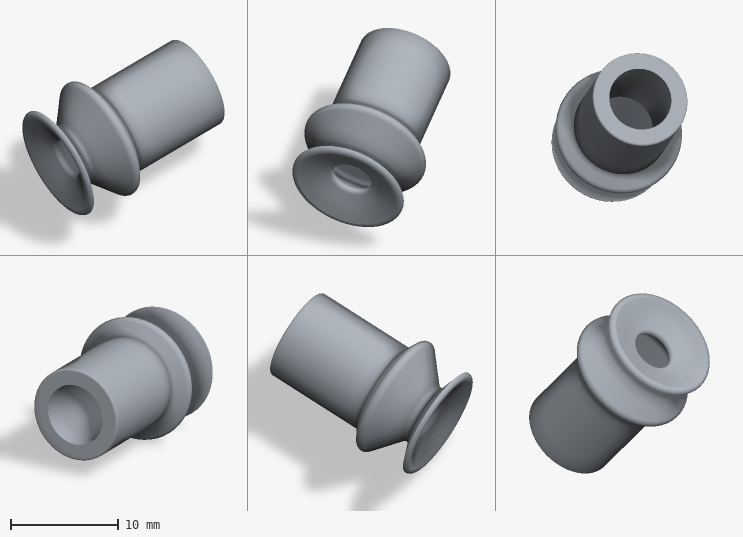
import cadquery as cq
import math


LENGTH = 16.4
SLEEVE_RADIUS = 4.51
SLEEVE_START = 6.4
SLEEVE_EDGE_ROUND = 0.2
BORE_RADIUS = 2.95

CREST_RADIUS = 6.38
CREST_Y = 5.23
CREST_ROUND = 0.57
INNER_CREST_RADIUS = 5.41
INNER_CREST_Y = 5.08
INNER_CREST_ROUND = 0.41
INNER_SHOULDER_Y = 6.63

NECK_RADIUS = 2.53
NECK_Y = 1.75
INNER_NECK_RADIUS = 1.55
INNER_NECK_Y = 1.48
NECK_ROUND = 0.55
INNER_NECK_ROUND = 0.43

LIP_RADIUS = 5.51
LIP_HEIGHT = 0.45
LIP_ROUND = 0.41
MOUTH_RADIUS = 4.94


def toward(start, end, distance):
    """Point at a given distance from start on the way to end."""
    share = distance / math.dist(start, end)
    return tuple(a + share * (b - a) for a, b in zip(start, end))


def rounded_outline(corners):
    """Closed outline through (radius, y, rounding) corners, with tangent arcs where rounding > 0."""
    outline = None
    for index, (radius, y, rounding) in enumerate(corners):
        corner = (radius, y)
        before = corners[index - 1][:2]
        after = corners[(index + 1) % len(corners)][:2]

        to_before = math.atan2(before[1] - y, before[0] - radius)
        to_after = math.atan2(after[1] - y, after[0] - radius)
        half_angle = math.acos(math.cos(to_after - to_before)) / 2
        setback = rounding / math.tan(half_angle)
        arc_start = toward(corner, before, setback)
        arc_end = toward(corner, after, setback)

        if outline is None:
            outline = cq.Workplane("XY").moveTo(*arc_start)
        else:
            outline = outline.lineTo(*arc_start)
        if rounding > 0:
            chord_middle = tuple((a + b) / 2 for a, b in zip(arc_start, arc_end))
            arc_depth = rounding / math.sin(half_angle) - rounding
            arc_middle = toward(corner, chord_middle, arc_depth)
            outline = outline.threePointArc(arc_middle, arc_end)
    return outline.close()


outer_corners = [
    (MOUTH_RADIUS, 0, 0),
    (LIP_RADIUS, 0, LIP_ROUND),
    (LIP_RADIUS, LIP_HEIGHT, 0),
    (NECK_RADIUS, NECK_Y, NECK_ROUND),
    (CREST_RADIUS, CREST_Y, CREST_ROUND),
    (SLEEVE_RADIUS, SLEEVE_START, 0),
    (SLEEVE_RADIUS, LENGTH, SLEEVE_EDGE_ROUND),
]
inner_corners = [
    (BORE_RADIUS, LENGTH, 0),
    (BORE_RADIUS, INNER_SHOULDER_Y, 0),
    (INNER_CREST_RADIUS, INNER_CREST_Y, INNER_CREST_ROUND),
    (INNER_NECK_RADIUS, INNER_NECK_Y, INNER_NECK_ROUND),
]

result = rounded_outline(outer_corners + inner_corners).revolve(360, (0, 0, 0), (0, 1, 0))